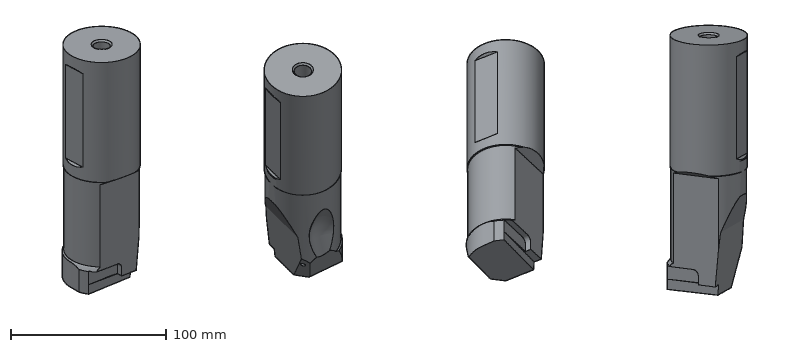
import cadquery as cq
import math


LENGTH = 169.0
SHANK_RADIUS = 25.0
NECK_RADIUS = 24.5
SHANK_BOTTOM = 81.5
SHANK_EDGE = SHANK_RADIUS - NECK_RADIUS

FLAT_HALF_WIDTH = 8.5
FLAT_BOTTOM = 91.0
FLAT_TOP = 159.2
FLAT_DISTANCE = math.sqrt(SHANK_RADIUS**2 - FLAT_HALF_WIDTH**2)

COLLAR_RADIUS = 25.5
COLLAR_CONE_TOP = 19.5
COLLAR_SHOULDER_Z = 18.5
COLLAR_TIP_Z = 16.5
COLLAR_TANGENT_X = -1.4
COLLAR_TIP_RADIUS = 26.9
COLLAR_TIP_Y = -25.9
COLLAR_END_X = 20.3

RAKE_X = 18.5
RAKE_TILT = 2.2
RAKE_RUNOUT_BOTTOM = 79.5
RAKE_RUNOUT_TOP = 83.1
SEAT_FLOOR_X = 14.4
SEAT_WALL_Y = 1.7
SEAT_CEILING = 16.7
SEAT_FILLET = 3.9
TOE_X = 13.5
TOE_HEIGHT = 7.0

RELIEF_PROFILE = [(24.5, 88.7), (24.2, 65.0), (16.5, 43.3), (12.5, 0.0)]

SLOPE_TOP_X = -24.0
SLOPE_TOP_Z = 25.0
SLOPE_FOOT_X = -16.0
SLOPE_FOOT_Z = 1.5
SLOPE_END_X = -15.0
CORNER_POINT = (-16.0, 5.7, 1.7)
CORNER_NORMAL = (-2.4, 2.6, -1.4)

GULLET_RADIUS = 10.3
GULLET_Y = 1.4
GULLET_MID_X = -27.0
GULLET_MID_Z = 43.8
GULLET_BEND = 11.5
GULLET_UPPER_ANGLE = math.radians(26)
GULLET_LOWER_ANGLE = math.radians(22)
GULLET_LEG = 23.7

BORE_RADIUS = 5.5
BORE_MOUTH_RADIUS = 6.8
BORE_END = 40.5
PILOT_RADIUS = 2.0
PILOT_X = 0.5
PILOT_DEPTH = 10.1
DRILL_POINT_ANGLE = 118
DRILL_POINT_SLOPE = math.tan(math.radians(90 - DRILL_POINT_ANGLE / 2))
COOLANT_RADIUS = 1.5
COOLANT_START = (-1.7, 1.4, BORE_END)
COOLANT_EXIT = (-17.5, 12.2, 16.7)

BIG = 101.4
BELOW = -1.7


def prism_along_y(points):
    """Prism spanning the whole part in Y from an outline of (x, z) points."""
    return cq.Workplane("XZ").polyline(points).close().extrude(BIG / 2, both=True)


def prism_along_x(points):
    """Prism spanning the whole part in X from an outline of (y, z) points."""
    return cq.Workplane("YZ").polyline(points).close().extrude(BIG / 2, both=True)


def turned(points):
    """Solid of revolution about Z from an outline of (radius, z) points."""
    return cq.Workplane("XZ").polyline(points).close().revolve(360, (0, 0), (0, 1))


def tilted(body):
    return body.rotate((0, 0, 0), (0, 0, 1), -RAKE_TILT)


def shank_and_neck():
    return turned([
        (0, 0),
        (NECK_RADIUS, 0),
        (NECK_RADIUS, SHANK_BOTTOM - SHANK_EDGE),
        (SHANK_RADIUS, SHANK_BOTTOM),
        (SHANK_RADIUS, LENGTH),
        (0, LENGTH),
    ])


def collar():
    """Round outline widening to a larger arc near the insert, topped by two cones."""

    def rim(radius, x):
        return x, -math.sqrt(radius**2 - x**2)

    tip_x = math.sqrt(COLLAR_TIP_RADIUS**2 - COLLAR_TIP_Y**2)
    outline = (
        cq.Workplane("XY")
        .moveTo(COLLAR_END_X, 0)
        .lineTo(0, COLLAR_RADIUS)
        .threePointArc((-COLLAR_RADIUS, 0), rim(COLLAR_RADIUS, COLLAR_TANGENT_X))
        .lineTo(tip_x, COLLAR_TIP_Y)
        .threePointArc(
            rim(COLLAR_TIP_RADIUS, (tip_x + COLLAR_END_X) / 2),
            rim(COLLAR_TIP_RADIUS, COLLAR_END_X),
        )
        .close()
        .extrude(COLLAR_CONE_TOP)
    )
    cone = turned([
        (0, 0),
        (COLLAR_TIP_RADIUS, 0),
        (COLLAR_TIP_RADIUS, COLLAR_TIP_Z),
        (COLLAR_RADIUS, COLLAR_SHOULDER_Z),
        (NECK_RADIUS, COLLAR_CONE_TOP),
        (0, COLLAR_CONE_TOP),
    ])
    return outline.intersect(cone)


def clamping_flat(side):
    """Flat pocket with 45 degree ends, on the side given by the sign of Y."""
    run = BIG / 4
    near = side * FLAT_DISTANCE
    far = side * (FLAT_DISTANCE + run)
    return prism_along_x([
        (near, FLAT_BOTTOM),
        (near, FLAT_TOP),
        (far, FLAT_TOP + run),
        (far, FLAT_BOTTOM - run),
    ])


def rake_face():
    slope = (RAKE_RUNOUT_TOP - RAKE_RUNOUT_BOTTOM) / (SHANK_RADIUS - RAKE_X)
    return tilted(prism_along_y([
        (RAKE_X, BELOW),
        (RAKE_X, RAKE_RUNOUT_BOTTOM),
        (RAKE_X + BIG, RAKE_RUNOUT_BOTTOM + slope * BIG),
        (RAKE_X + BIG, BELOW),
    ]))


def insert_seat():
    """Corner pocket open to -Y and -Z, with a rounded edge between wall and ceiling."""
    pocket = (
        cq.Workplane("XY")
        .box(BIG, BIG, BIG, centered=False)
        .translate((SEAT_FLOOR_X, SEAT_WALL_Y - BIG, SEAT_CEILING - BIG))
        .edges(">Y and >Z")
        .fillet(SEAT_FILLET)
    )
    return tilted(pocket)


def toe_relief():
    return prism_along_y([(TOE_X, BELOW), (TOE_X, TOE_HEIGHT), (BIG, TOE_HEIGHT), (BIG, BELOW)])


def side_relief():
    top_z = RELIEF_PROFILE[0][1]
    foot_z = RELIEF_PROFILE[-1][1]
    return prism_along_x(RELIEF_PROFILE + [(BIG, foot_z), (BIG, top_z)])


def head_slope():
    rise = (SLOPE_FOOT_X - SLOPE_TOP_X) / (SLOPE_TOP_Z - SLOPE_FOOT_Z)
    return prism_along_y([
        (SLOPE_END_X, 0),
        (SLOPE_FOOT_X, SLOPE_FOOT_Z),
        (SLOPE_FOOT_X - rise * BIG / 2, SLOPE_FOOT_Z + BIG / 2),
        (-BIG, 0),
    ])


def head_corner():
    plane = cq.Plane(origin=CORNER_POINT, normal=CORNER_NORMAL)
    return cq.Workplane(plane).rect(BIG, BIG).extrude(BIG / 2)


def gullet():
    """Round tool path: straight leg, arc bulging towards the axis, straight leg."""

    def half_path(angle, side):
        """Ends of one leg: where it leaves the arc, and its outer end."""
        arc_end = (
            GULLET_MID_X - GULLET_BEND * (1 - math.cos(angle)),
            GULLET_MID_Z + side * GULLET_BEND * math.sin(angle),
        )
        leg_end = (
            arc_end[0] - GULLET_LEG * math.sin(angle),
            arc_end[1] + side * GULLET_LEG * math.cos(angle),
        )
        return arc_end, leg_end

    lower_arc_end, lower_end = half_path(GULLET_LOWER_ANGLE, -1)
    upper_arc_end, upper_end = half_path(GULLET_UPPER_ANGLE, 1)
    path = (
        cq.Workplane("XZ", origin=(0, GULLET_Y, 0))
        .moveTo(*lower_end)
        .lineTo(*lower_arc_end)
        .threePointArc((GULLET_MID_X, GULLET_MID_Z), upper_arc_end)
        .lineTo(*upper_end)
    )
    start = cq.Plane(
        origin=(lower_end[0], GULLET_Y, lower_end[1]),
        xDir=(0, 1, 0),
        normal=(math.sin(GULLET_LOWER_ANGLE), 0, math.cos(GULLET_LOWER_ANGLE)),
    )
    return cq.Workplane(start).circle(GULLET_RADIUS).sweep(path)


def coolant_bore():
    mouth = BORE_MOUTH_RADIUS - BORE_RADIUS
    bore = turned([
        (0, BORE_END - BORE_RADIUS * DRILL_POINT_SLOPE),
        (BORE_RADIUS, BORE_END),
        (BORE_RADIUS, LENGTH - mouth),
        (BORE_MOUTH_RADIUS, LENGTH),
        (0, LENGTH),
    ])
    pilot_end = BORE_END - PILOT_DEPTH
    pilot = turned([
        (0, pilot_end - PILOT_RADIUS * DRILL_POINT_SLOPE),
        (PILOT_RADIUS, pilot_end),
        (PILOT_RADIUS, BORE_END),
        (0, BORE_END),
    ]).translate((PILOT_X, 0, 0))
    return bore.union(pilot)


def coolant_channel():
    start = cq.Vector(*COOLANT_START)
    run = cq.Vector(*COOLANT_EXIT) - start
    overshoot = 3 * COOLANT_RADIUS
    return cq.Workplane(
        cq.Solid.makeCylinder(COOLANT_RADIUS, run.Length + overshoot, start, run)
    )


result = shank_and_neck().union(collar())
cuts = [
    clamping_flat(-1),
    clamping_flat(1),
    rake_face(),
    insert_seat(),
    toe_relief(),
    side_relief(),
    head_slope(),
    head_corner(),
    gullet(),
    coolant_bore(),
    coolant_channel(),
]
for cut in cuts:
    result = result.cut(cut)